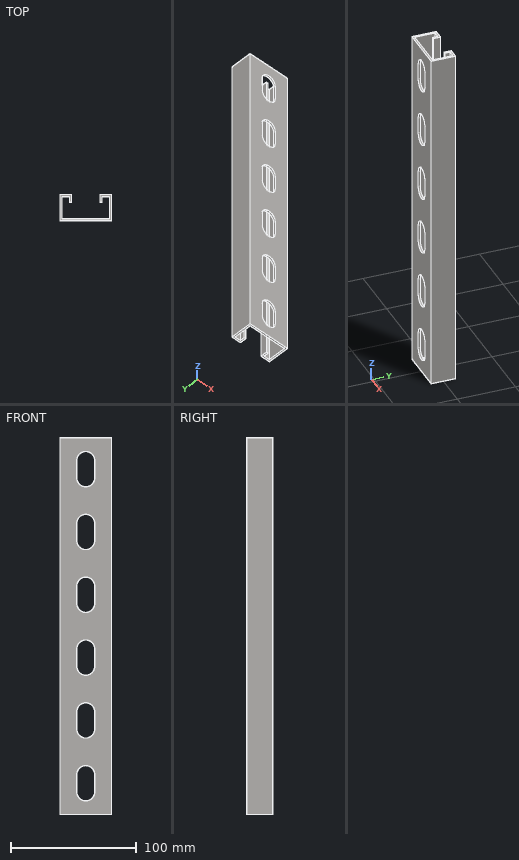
import cadquery as cq

length = 300.0
width = 41.0
depth = 21.0
wall = 1.8
lip_width = 9.3
lip_depth = 6.3

slot_count = 6
slot_pitch = length / slot_count
slot_length = 28.0
slot_width = 14.0


def make_box(x_min, x_max, y_min, y_max):
    """Full-length bar over the given X and Y ranges."""
    return cq.Workplane("XY").box(
        x_max - x_min, y_max - y_min, length, centered=False
    ).translate((x_min, y_min, -length / 2))


def make_channel():
    """C-shaped channel with inward lips turned back toward the web."""
    half = width / 2
    back = -depth / 2
    front = depth / 2
    inner_front = front - wall
    channel = make_box(-half, half, back, front)
    cavity = make_box(-half + wall, half - wall, back + wall, inner_front)
    mouth = make_box(-half + lip_width, half - lip_width, inner_front, front)
    channel = channel.cut(cavity).cut(mouth)

    left_lip = make_box(-half + lip_width - wall, -half + lip_width, front - lip_depth, front)
    right_lip = left_lip.mirror("YZ")
    return channel.union(left_lip).union(right_lip)


def make_slots():
    """Row of upright slots through the web only."""
    return (
        cq.Workplane("XZ", origin=(0, -depth / 2, 0))
        .rarray(3, slot_pitch, 1, slot_count)
        .slot2D(slot_length, slot_width, 90)
        .extrude(-wall)
    )


result = make_channel().cut(make_slots())